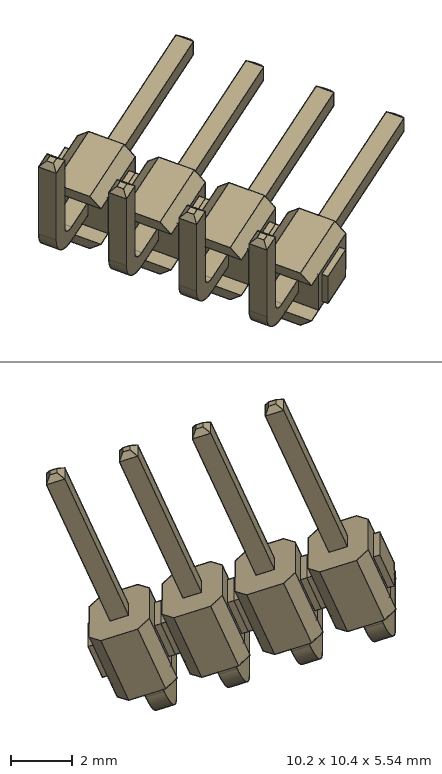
import cadquery as cq


unit_count = 4
row_length = 10.16
pitch = row_length / unit_count

block_width = 2.09
block_height = 2.54
flange_depth = 2.54
core_depth = 2.01
edge_chamfer = 0.4
core_height = block_height - 2 * edge_chamfer

tab_size = 1.32
tab_rear_gap = 0.47

overall_height = 5.54
pin_length = 10.36
pin_top = overall_height - block_height / 2
pin_size = 0.64
pin_front_overhang = 1.83
bend_inner_radius = 0.5
bend_outer_radius = bend_inner_radius + pin_size
tip_chamfer = 0.2

pin_front = -(flange_depth + pin_front_overhang)
pin_rear = pin_front + pin_length


def make_block():
    """Octagonal block, cut back at the front between its two flanges."""
    block = (
        cq.Workplane("XY")
        .box(block_width, flange_depth, block_height)
        .edges("|Y")
        .chamfer(edge_chamfer)
        .translate((0, -flange_depth / 2, 0))
    )
    front_recess = (
        cq.Workplane("XY")
        .box(block_width, flange_depth - core_depth, core_height)
        .translate((0, -(flange_depth + core_depth) / 2, 0))
    )
    return block.cut(front_recess)


def make_tabs():
    """One bar through the block that forms the tabs on both sides."""
    tab_center_y = -(tab_rear_gap + tab_size / 2)
    return cq.Workplane("XY").box(pitch, tab_size, tab_size).translate((0, tab_center_y, 0))


def make_pin():
    """Square pin with a rounded right-angle bend and chamfered tips."""
    bend_center_y = pin_front + bend_outer_radius
    bend_center_z = bend_outer_radius - pin_size / 2
    profile = (
        cq.Workplane("YZ")
        .moveTo(pin_rear, -pin_size / 2)
        .lineTo(bend_center_y, -pin_size / 2)
        .radiusArc((pin_front, bend_center_z), bend_outer_radius)
        .lineTo(pin_front, pin_top)
        .lineTo(pin_front + pin_size, pin_top)
        .lineTo(pin_front + pin_size, bend_center_z)
        .radiusArc((bend_center_y, pin_size / 2), -bend_inner_radius)
        .lineTo(pin_rear, pin_size / 2)
        .close()
    )
    pin = profile.extrude(pin_size / 2, both=True)
    return pin.faces(">Y").chamfer(tip_chamfer).faces(">Z").chamfer(tip_chamfer)


def make_header_unit():
    return make_block().union(make_tabs()).union(make_pin())


header_units = []
for index in range(unit_count):
    unit_x = (index - (unit_count - 1) / 2) * pitch
    header_units.append(make_header_unit().translate((unit_x, 0, 0)).val())

result = cq.Compound.makeCompound(header_units)